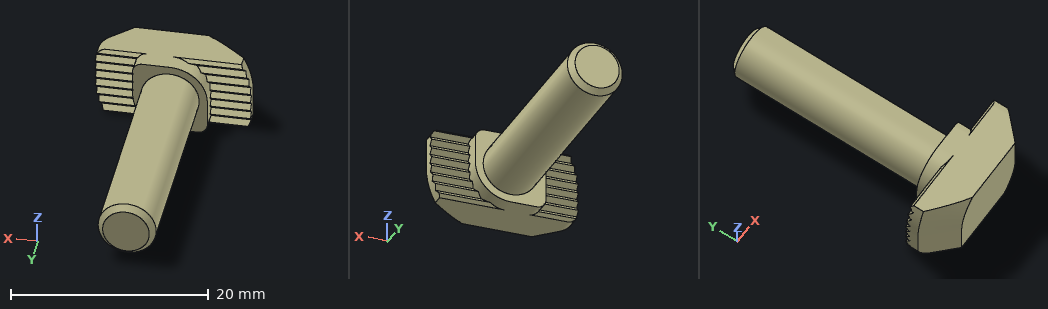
import cadquery as cq
import math


overall_length = 29.7
head_length = 16.0
head_width = 7.7
corner_radius = 1.0

chamfer_depth = 3.15
chamfer_width = 3.22
tooth_peak_y = 4.7
tooth_pitch = 1.0
tooth_depth = tooth_pitch / 2
tooth_root_y = tooth_peak_y - tooth_depth
collar_end_y = 6.2

shank_diameter = 6.0
shank_tip_chamfer = 0.6

half_length = head_length / 2
half_width = head_width / 2
front_half_length = half_length - chamfer_width


def y_extrude(sketch, start_y, end_y):
    """Extrude an XZ-plane outline from start_y to end_y."""
    return sketch.extrude(-(end_y - start_y)).translate((0, start_y, 0))


def turning_outline(reach):
    """Outline with two opposite quadrants rounded about the axis so the bolt can turn in its slot."""
    end_x = math.sqrt(reach**2 - half_width**2)
    mid_angle = math.asin(half_width / reach) / 2
    mid_x = reach * math.cos(mid_angle)
    mid_z = reach * math.sin(mid_angle)
    return (
        cq.Workplane("XZ")
        .moveTo(-reach, 0)
        .threePointArc((-mid_x, mid_z), (-end_x, half_width))
        .lineTo(reach - corner_radius, half_width)
        .radiusArc((reach, half_width - corner_radius), corner_radius)
        .lineTo(reach, 0)
        .threePointArc((mid_x, -mid_z), (end_x, -half_width))
        .lineTo(-reach + corner_radius, -half_width)
        .radiusArc((-reach, -half_width + corner_radius), corner_radius)
        .close()
    )


def front_taper():
    """Envelope of the head front: conical in the turning quadrants, flat chamfers in the other two."""
    half_profile = [
        (0, 0),
        (front_half_length, 0),
        (half_length, chamfer_depth),
        (half_length, tooth_peak_y),
        (0, tooth_peak_y),
    ]
    cone = cq.Workplane("XY").polyline(half_profile).close().revolve(360, (0, 0), (0, 1))
    right_wedge = cq.Workplane("XY").polyline(half_profile).close().extrude(half_width)
    left_wedge = right_wedge.rotate((0, 0, 0), (0, 1, 0), 180)
    return cone.union(right_wedge).union(left_wedge)


def cut_teeth(head):
    """Cut V-grooves along X into the clamping face, one at every whole pitch from the shank axis."""
    groove = (
        cq.Workplane("YZ")
        .moveTo(tooth_root_y, 0)
        .lineTo(tooth_peak_y, tooth_pitch / 2)
        .lineTo(tooth_peak_y, -tooth_pitch / 2)
        .close()
        .extrude(half_length, both=True)
    )
    outermost = math.ceil(half_width / tooth_pitch)
    for index in range(-outermost, outermost + 1):
        head = head.cut(groove.translate((0, 0, index * tooth_pitch)))
    return head


def make_head():
    head = y_extrude(turning_outline(half_length), 0, tooth_peak_y)
    return cut_teeth(head.intersect(front_taper()))


def make_collar():
    return y_extrude(turning_outline(half_width), chamfer_depth, collar_end_y)


def make_shank():
    shank = y_extrude(cq.Workplane("XZ").circle(shank_diameter / 2), chamfer_depth, overall_length)
    return shank.faces(">Y").chamfer(shank_tip_chamfer)


result = make_head().union(make_collar()).union(make_shank())